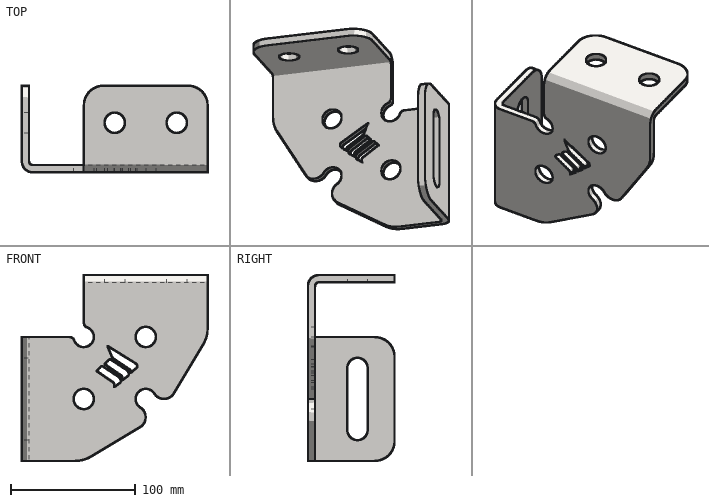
import cadquery as cq
import math

size = 150.0
depth = 70.0
thickness = 6.0
bend_outer = 9.0
bend_inner = bend_outer - thickness
third = size / 3
hole_diameter = 16.2
flange_hole_depth = 40.0
flange_corner_radius = 16.0

slope_start = 120.0
lobe_radius = 9.2
shoulder_radius = 25.0
notch_corner_radius = 4.0

hole_radius = hole_diameter / 2


def across_diagonal(point):
    """Mirror an (X, Z) point in the bracket's diagonal symmetry line."""
    x, z = point
    return (size - z, size - x)


def round_edges(body, points, radius):
    """Fillet the edges running along Y through the given (X, Z) points."""
    for x, z in points:
        selector = cq.selectors.NearestToPointSelector((x, thickness / 2, z))
        body = body.edges("|Y").edges(selector).fillet(radius)
    return body


def cut_through_web(sketch):
    """Turn an XZ sketch into a cutter as thick as the web."""
    return sketch.extrude(-thickness)


def make_web():
    upper_inner = (third, 2 * third)
    lower_inner = (2 * third, third)
    lobe = (slope_start, third)
    shoulder = (size, 2 * third)
    outline = [
        (0, 0),
        across_diagonal(shoulder),
        across_diagonal(lobe),
        lower_inner,
        lobe,
        shoulder,
        (size, size),
        (third, size),
        upper_inner,
        (0, 2 * third),
    ]
    web = cq.Workplane("XZ").polyline(outline).close().extrude(-thickness)
    web = round_edges(web, [shoulder, across_diagonal(shoulder)], shoulder_radius)
    web = round_edges(web, [lobe, across_diagonal(lobe)], lobe_radius)

    round_centers = [(third, third), (2 * third, 2 * third), upper_inner, lower_inner]
    web = web.cut(cut_through_web(cq.Workplane("XZ").pushPoints(round_centers).circle(hole_radius)))

    lower_corner = (2 * third + hole_radius, third)
    upper_corner = (third, 2 * third + hole_radius)
    web = round_edges(web, [lower_corner, across_diagonal(lower_corner)], lobe_radius)
    return round_edges(web, [upper_corner, across_diagonal(upper_corner)], notch_corner_radius)


def bent_strip(plane, length):
    """L-shaped strip: U runs inward from the outer flange face, V is depth from the web face."""
    arc_mid = bend_outer - bend_outer * math.sqrt(0.5)
    inner_mid = bend_outer - bend_inner * math.sqrt(0.5)
    return (
        cq.Workplane(plane)
        .moveTo(bend_outer, 0)
        .threePointArc((arc_mid, arc_mid), (0, bend_outer))
        .lineTo(0, depth)
        .lineTo(thickness, depth)
        .lineTo(thickness, bend_outer)
        .threePointArc((inner_mid, inner_mid), (bend_outer, thickness))
        .close()
        .extrude(length)
    )


def make_side_flange():
    flange = bent_strip(cq.Plane((0, 0, 0), (1, 0, 0), (0, 0, 1)), 2 * third)
    flange = flange.edges("|X and >Y").fillet(flange_corner_radius)
    slot = (
        cq.Workplane("YZ")
        .center(flange_hole_depth, third)
        .slot2D(third + hole_diameter, hole_diameter, 90)
        .extrude(thickness)
    )
    return flange.cut(slot)


def make_top_flange():
    flange = bent_strip(cq.Plane((third, 0, size), (0, 0, -1), (1, 0, 0)), 2 * third)
    flange = flange.edges("|Z and >Y").fillet(flange_corner_radius)
    holes = (
        cq.Workplane("XY", origin=(0, 0, size - thickness))
        .pushPoints([(x, flange_hole_depth) for x in (size / 2, size / 2 + third)])
        .circle(hole_radius)
        .extrude(thickness)
    )
    return flange.cut(holes)


def bend_zones():
    """Space beyond the web's flat area, occupied by the two bends instead."""
    side = cq.Workplane("XY").box(bend_outer, thickness, size, centered=False)
    top = (
        cq.Workplane("XY", origin=(0, 0, size - bend_outer))
        .box(size, thickness, bend_outer, centered=False)
    )
    return side.union(top)


def band_window(shift_x, shift_z):
    """Slanting window with a hooked lower end."""
    sketch = (
        cq.Workplane("XZ", origin=(shift_x, 0, shift_z))
        .moveTo(66.9, 78.2)
        .lineTo(70.4, 81.6)
        .threePointArc((71.2, 81.9), (72.3, 81.5))
        .lineTo(83.4, 74.1)
        .threePointArc((85.8, 71.7), (86.0, 68.8))
        .lineTo(80.8, 65.1)
        .threePointArc((81.2, 67.5), (79.4, 69.6))
        .close()
    )
    return cut_through_web(sketch)


def pointed_window():
    """Upper window, drawn out to a point at its left end."""
    sketch = (
        cq.Workplane("XZ")
        .moveTo(69.2, 92.7)
        .lineTo(91.8, 78.6)
        .threePointArc((92.8, 77.4), (93.0, 75.6))
        .lineTo(87.6, 71.0)
        .threePointArc((87.8, 72.8), (86.7, 74.1))
        .lineTo(75.0, 81.9)
        .threePointArc((73.4, 83.4), (72.2, 85.6))
        .close()
    )
    return cut_through_web(sketch)


band_shift = (-6.5, -5.5)

web = make_web().cut(bend_zones())
web = web.cut(pointed_window()).cut(band_window(0, 0)).cut(band_window(*band_shift))
result = web.union(make_side_flange()).union(make_top_flange())